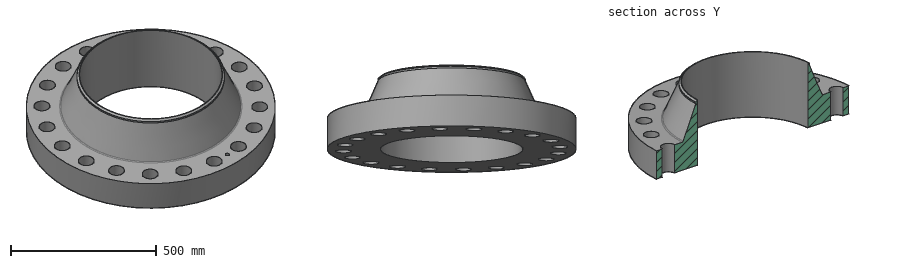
import cadquery as cq
import math

flange_diameter = 857.0
flange_thickness = 108.0
bore_diameter = 490.0

total_height = 248.0
hub_base_diameter = 622.0
root_fillet_radius = 4.0
neck_diameter = 508.0
neck_height = 6.0
land_width = 2.0
bevel_angle = 37.5

bolt_count = 20
bolt_circle_diameter = 749.0
bolt_hole_diameter = 54.0

pin_hole_diameter = 14.0
pin_hole_depth = 17.0

flange_radius = flange_diameter / 2
bore_radius = bore_diameter / 2
hub_base_radius = hub_base_diameter / 2
neck_radius = neck_diameter / 2
bevel_radius = bore_radius + land_width
bevel_height = (neck_radius - bevel_radius) * math.tan(math.radians(bevel_angle))
bevel_bottom = total_height - bevel_height
neck_bottom = bevel_bottom - neck_height
bolt_circle_radius = bolt_circle_diameter / 2
bolt_pitch = 360 / bolt_count


def make_body():
    """Revolve the section of flange and hub about Z and round the hub root."""
    section = [
        (bore_radius, 0),
        (flange_radius, 0),
        (flange_radius, flange_thickness),
        (hub_base_radius, flange_thickness),
        (neck_radius, neck_bottom),
        (neck_radius, bevel_bottom),
        (bevel_radius, total_height),
        (bore_radius, total_height),
    ]
    body = cq.Workplane("XZ").polyline(section).close().revolve(360, (0, 0), (0, 1))
    hub_root = cq.selectors.RadiusNthSelector(-2)
    return body.edges("%CIRCLE").edges(hub_root).fillet(root_fillet_radius)


def make_bolt_holes():
    """Through holes, the first one on the +X axis."""
    return (
        cq.Workplane("XY")
        .polarArray(bolt_circle_radius, 0, 360, bolt_count)
        .circle(bolt_hole_diameter / 2)
        .extrude(flange_thickness)
    )


def make_pin_hole():
    """Blind hole in the flange's upper face, half a bolt pitch from +X."""
    angle = math.radians(bolt_pitch / 2)
    return (
        cq.Workplane("XY", origin=(0, 0, flange_thickness))
        .center(bolt_circle_radius * math.cos(angle), bolt_circle_radius * math.sin(angle))
        .circle(pin_hole_diameter / 2)
        .extrude(-pin_hole_depth)
    )


result = make_body().cut(make_bolt_holes()).cut(make_pin_hole())